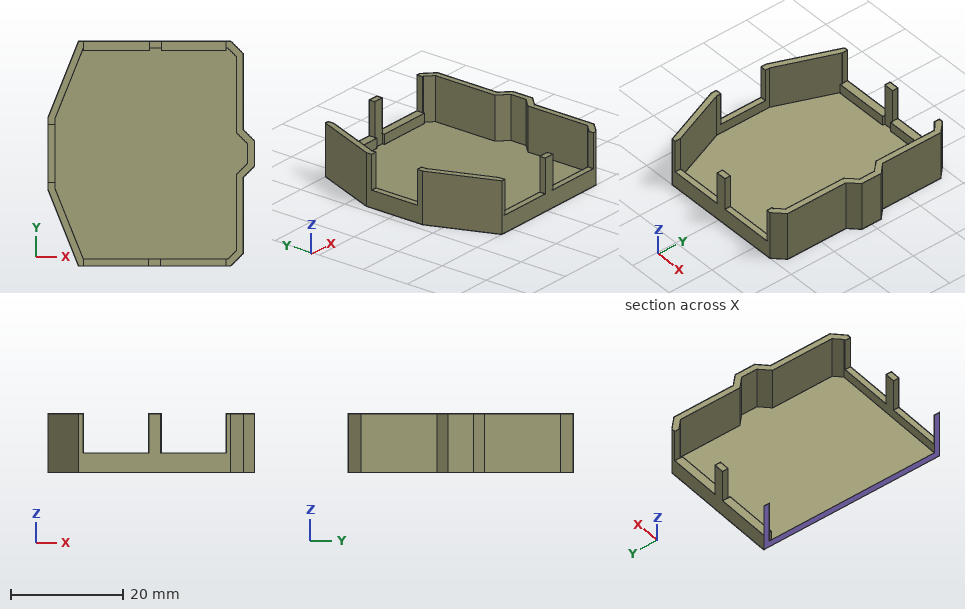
import cadquery as cq

length = 36.78
width = 40.05
height = 10.5

wall = 1.25
floor_thickness = 1.5
sill_height = 3.5

nose_depth = 5.45
nose_width = 12.8
corner_chamfer = 2.25
bump_depth = 2.0
bump_width = 4.5

nose_opening_width = 10.35
side_opening_length = 25.4
side_opening_start = 6.3

post_length = 2.15
back_post_shift = 0.14

rib_step = 0.48

left = -length / 2
right = length / 2
half_width = width / 2
main_right = right - bump_depth
side_opening_center = left + side_opening_start + side_opening_length / 2
upper_height = height - sill_height


def block(size_x, size_y, size_z, center_x, center_y, base_z):
    """Box centred in X and Y, standing on base_z."""
    box = cq.Workplane("XY").box(size_x, size_y, size_z, centered=(True, True, False))
    return box.translate((center_x, center_y, base_z))


def outline():
    """Closed outer outline, mirrored about the X axis."""
    bump_half = bump_width / 2
    front_half = [
        (left, -nose_width / 2),
        (left + nose_depth, -half_width),
        (main_right - corner_chamfer, -half_width),
        (main_right, -half_width + corner_chamfer),
        (main_right, -bump_half - bump_depth),
        (right, -bump_half),
    ]
    back_half = [(x, -y) for x, y in reversed(front_half)]
    return cq.Workplane("XY").polyline(front_half + back_half).close()


def tray():
    """Open tray with a flat floor and walls of even thickness."""
    body = outline().extrude(height)
    cavity = outline().offset2D(-wall, "intersection").extrude(height)
    return body.cut(cavity.translate((0, 0, floor_thickness)))


def nose_opening():
    """Cutter for the opening in the flat -X wall."""
    return block(2 * wall, nose_opening_width, upper_height, left, 0, sill_height)


def side_opening(side):
    """Cutter for the opening in the -Y (side = -1) or +Y (side = 1) wall."""
    return block(
        side_opening_length, 2 * wall, upper_height,
        side_opening_center, side * half_width, sill_height,
    )


def post(side, shift):
    """Post standing in a side opening, as thick as the wall."""
    center_y = side * (half_width - wall / 2)
    return block(post_length, wall, height, side_opening_center + shift, center_y, 0)


def back_rib():
    """Rib inside the +Y wall, level with the sill and interrupted at the post."""
    center_y = half_width - wall - rib_step / 2
    rib_height = sill_height - floor_thickness
    rib = block(
        side_opening_length, rib_step, rib_height,
        side_opening_center, center_y, floor_thickness,
    )
    gap = block(
        post_length, rib_step, rib_height,
        side_opening_center + back_post_shift, center_y, floor_thickness,
    )
    return rib.cut(gap)


result = tray().cut(nose_opening())
for side, shift in ((-1, 0), (1, back_post_shift)):
    result = result.cut(side_opening(side)).union(post(side, shift))
result = result.union(back_rib())